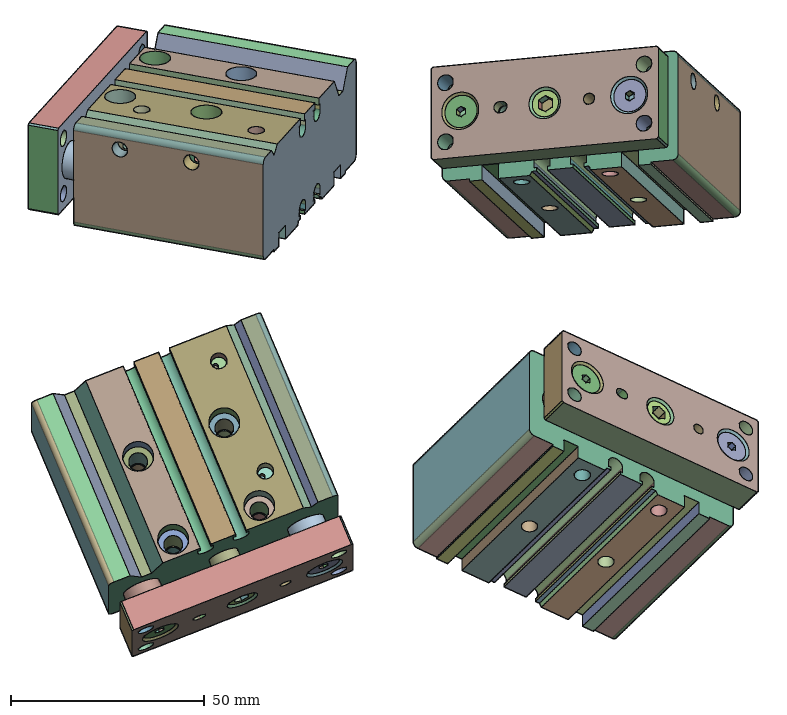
import cadquery as cq
import math

TOTAL_LENGTH = 66.0
PLATE_THICKNESS = 8.25
ROD_EXPOSED = 4.9
BODY_FRONT = PLATE_THICKNESS + ROD_EXPOSED
BODY_LENGTH = TOTAL_LENGTH - BODY_FRONT

BODY_WIDTH = 64.0
BODY_HEIGHT = 30.0
HALF_WIDTH = BODY_WIDTH / 2
TOP = BODY_HEIGHT / 2
BOTTOM = -TOP
CORNER_RADIUS = 1.5
FOOT_STEP = 0.6
FOOT_EDGE = 24.6

DOVETAIL_CENTER = 21.45
DOVETAIL_TOP_WIDTH = 9.1
DOVETAIL_FLOOR_WIDTH = 2.8
DOVETAIL_DEPTH = 5.55

VEE_INNER = -22.3
VEE_BOTTOM = -24.55
VEE_OUTER = -26.4
VEE_DEPTH = 2.1

SENSOR_SLOT_OFFSET = 4.95
SENSOR_NECK_WIDTH = 3.0
SENSOR_HEAD_WIDTH = 4.35
SENSOR_LIP = 2.05
SENSOR_HEAD_STRAIGHT = 1.6

RELIEF_WIDTH = 15.3
RELIEF_DEPTH = 1.05
RELIEF_FLARE = 0.6

MOUNT_SLOT_OFFSET = 18.95
MOUNT_SLOT_WIDTH = 4.5
MOUNT_SLOT_DEPTH = 3.95

MOUNT_FIRST_X = 18.0
MOUNT_PITCH_X = 24.0
MOUNT_PITCH_Y = 24.0
MOUNT_BORE = 4.2
MOUNT_CLEARANCE = 4.8
MOUNT_COUNTERBORE = 8.0
COUNTERBORE_DEPTH = 5.0
CLEARANCE_LENGTH = TOP

PORT_DIAMETER = 4.2
PORT_DEPTH = 3.95
BLEED_DIAMETER = 1.5
BLEED_DEPTH = 2.0
BLEED_OFFSET = 0.9
PORT_FRONT_X = 26.0
TOP_PORT_REAR_X = 57.95
SIDE_PORT_REAR_X = 45.95
TOP_PORT_Y = -16.95
SIDE_PORT_Z = 10.4

PLATE_WIDTH = 61.65
PLATE_HEIGHT = 25.0
PLATE_CHAMFER = 0.45
PLATE_HOLE = 4.2
PLATE_HOLE_PITCH_Y = 53.85
PLATE_HOLE_PITCH_Z = 16.0
DOWEL_DIAMETER = 3.0
DOWEL_OFFSET = 12.0
DOWEL_SLOT_LENGTH = 3.5
DOWEL_SLOT_DEPTH = 3.95

GUIDE_OFFSET = 22.9
GUIDE_DIAMETER = 10.0
PISTON_ROD_DIAMETER = 8.0
GUIDE_RECESS = (10.0, 8.7)
PISTON_RECESS = (8.5, 7.1)
RECESS_DEPTH = 0.6
GUIDE_HEX = 2.4
PISTON_HEX = 3.75
HEX_DEPTH = 3.0


def cylinder_x(diameter, x, y, z, length):
    """Cylinder along +X starting at (x, y, z)."""
    return cq.Workplane("YZ", origin=(x, y, z)).circle(diameter / 2).extrude(length)


def cylinder_down(diameter, x, y, z, depth):
    """Cylinder running down from (x, y, z)."""
    return cq.Workplane("XY", origin=(x, y, z)).circle(diameter / 2).extrude(-depth)


def cylinder_inward(diameter, x, y, z, depth):
    """Cylinder along +Y starting at (x, y, z)."""
    return cq.Workplane("XZ", origin=(x, y, z)).circle(diameter / 2).extrude(-depth)


def body_prism(section):
    """Extrude a closed YZ section over the length of the body."""
    return section.extrude(BODY_LENGTH)


def section_plane():
    return cq.Workplane("YZ", origin=(BODY_FRONT, 0, 0))


def body_blank():
    """Rounded block with a slightly lower foot along the middle of its underside."""
    side_bottom = BOTTOM + FOOT_STEP
    block = (
        section_plane()
        .center(0, (TOP + side_bottom) / 2)
        .rect(BODY_WIDTH, TOP - side_bottom)
        .extrude(BODY_LENGTH)
        .edges("|X")
        .fillet(CORNER_RADIUS)
    )
    foot = body_prism(section_plane().center(0, BOTTOM / 2).rect(2 * FOOT_EDGE, TOP))
    return block.union(foot)


def dovetail_groove():
    top_half = DOVETAIL_TOP_WIDTH / 2
    floor_half = DOVETAIL_FLOOR_WIDTH / 2
    floor = TOP - DOVETAIL_DEPTH
    return body_prism(
        section_plane()
        .moveTo(DOVETAIL_CENTER - top_half, TOP)
        .lineTo(DOVETAIL_CENTER - floor_half, floor)
        .lineTo(DOVETAIL_CENTER + floor_half, floor)
        .lineTo(DOVETAIL_CENTER + top_half, TOP)
        .close()
    )


def vee_groove():
    return body_prism(
        section_plane()
        .moveTo(VEE_INNER, TOP)
        .lineTo(VEE_BOTTOM, TOP - VEE_DEPTH)
        .lineTo(VEE_OUTER, TOP)
        .close()
    )


def sensor_slot(y, side):
    """Necked slot with a round floor; side is +1 in the top face and -1 in the bottom face."""
    neck = SENSOR_NECK_WIDTH / 2
    head = SENSOR_HEAD_WIDTH / 2
    mouth = side * TOP
    lip = side * (TOP - SENSOR_LIP)
    spring = lip - side * SENSOR_HEAD_STRAIGHT
    return body_prism(
        section_plane()
        .moveTo(y - neck, mouth)
        .lineTo(y - neck, lip)
        .lineTo(y - head, lip)
        .lineTo(y - head, spring)
        .threePointArc((y, spring - side * head), (y + head, spring))
        .lineTo(y + head, lip)
        .lineTo(y + neck, lip)
        .lineTo(y + neck, mouth)
        .close()
    )


def bottom_relief():
    roof_half = RELIEF_WIDTH / 2
    mouth_half = roof_half + RELIEF_FLARE
    roof = BOTTOM + RELIEF_DEPTH
    return body_prism(
        section_plane()
        .moveTo(-mouth_half, BOTTOM)
        .lineTo(-roof_half, roof)
        .lineTo(roof_half, roof)
        .lineTo(mouth_half, BOTTOM)
        .close()
    )


def mount_slot(y):
    center_z = BOTTOM + MOUNT_SLOT_DEPTH / 2
    return body_prism(section_plane().center(y, center_z).rect(MOUNT_SLOT_WIDTH, MOUNT_SLOT_DEPTH))


def mount_hole(x, y):
    """Counterbore, clearance length and smaller through bore, cut from the top."""
    counterbore = cylinder_down(MOUNT_COUNTERBORE, x, y, TOP, COUNTERBORE_DEPTH)
    clearance = cylinder_down(MOUNT_CLEARANCE, x, y, TOP, CLEARANCE_LENGTH)
    bore = cylinder_down(MOUNT_BORE, x, y, TOP, BODY_HEIGHT)
    return counterbore.union(clearance).union(bore)


def top_port(x):
    port = cylinder_down(PORT_DIAMETER, x, TOP_PORT_Y, TOP, PORT_DEPTH)
    bleed = cylinder_down(BLEED_DIAMETER, x, TOP_PORT_Y + BLEED_OFFSET, TOP, PORT_DEPTH + BLEED_DEPTH)
    return port.union(bleed)


def side_port(x):
    port = cylinder_inward(PORT_DIAMETER, x, -HALF_WIDTH, SIDE_PORT_Z, PORT_DEPTH)
    bleed_z = SIDE_PORT_Z - BLEED_OFFSET
    bleed = cylinder_inward(BLEED_DIAMETER, x, -HALF_WIDTH, bleed_z, PORT_DEPTH + BLEED_DEPTH)
    return port.union(bleed)


def make_body():
    body = body_blank().cut(dovetail_groove()).cut(vee_groove()).cut(bottom_relief())
    for side in (1, -1):
        body = body.cut(mount_slot(side * MOUNT_SLOT_OFFSET))
        for face in (1, -1):
            body = body.cut(sensor_slot(side * SENSOR_SLOT_OFFSET, face))
    for x in (MOUNT_FIRST_X, MOUNT_FIRST_X + MOUNT_PITCH_X):
        for y in (-MOUNT_PITCH_Y / 2, MOUNT_PITCH_Y / 2):
            body = body.cut(mount_hole(x, y))
    for x in (PORT_FRONT_X, TOP_PORT_REAR_X):
        body = body.cut(top_port(x))
    for x in (PORT_FRONT_X, SIDE_PORT_REAR_X):
        body = body.cut(side_port(x))
    return body


def rod_end(y, recess, hex_flats):
    """Tapered recess with a hexagon socket in its floor, cut into the plate face."""
    mouth, floor = recess
    taper = (
        cq.Workplane("YZ", origin=(0, y, 0))
        .circle(mouth / 2)
        .workplane(offset=RECESS_DEPTH)
        .circle(floor / 2)
        .loft()
    )
    corners = hex_flats / math.cos(math.pi / 6)
    socket = (
        cq.Workplane("YZ", origin=(0, y, 0))
        .transformed(rotate=(0, 0, 90))
        .polygon(6, corners)
        .extrude(RECESS_DEPTH + HEX_DEPTH)
    )
    return taper.union(socket)


def make_plate_with_rods():
    """Tool plate carrying the piston rod and the two guide rods, which end at the body face."""
    plate = (
        cq.Workplane("YZ")
        .rect(PLATE_WIDTH, PLATE_HEIGHT)
        .extrude(PLATE_THICKNESS)
        .edges("|X")
        .chamfer(PLATE_CHAMFER)
    )
    plate = plate.cut(
        cq.Workplane("YZ")
        .rect(PLATE_HOLE_PITCH_Y, PLATE_HOLE_PITCH_Z, forConstruction=True)
        .vertices()
        .circle(PLATE_HOLE / 2)
        .extrude(PLATE_THICKNESS)
    )
    for y in (-DOWEL_OFFSET, DOWEL_OFFSET):
        plate = plate.cut(cylinder_x(DOWEL_DIAMETER, 0, y, 0, PLATE_THICKNESS))
    dowel_slot = (
        cq.Workplane("YZ", origin=(0, DOWEL_OFFSET, 0))
        .slot2D(DOWEL_SLOT_LENGTH, DOWEL_DIAMETER)
        .extrude(DOWEL_SLOT_DEPTH)
    )
    plate = plate.cut(dowel_slot)
    plate = plate.union(cylinder_x(PISTON_ROD_DIAMETER, PLATE_THICKNESS, 0, 0, ROD_EXPOSED))
    plate = plate.cut(rod_end(0, PISTON_RECESS, PISTON_HEX))
    for y in (-GUIDE_OFFSET, GUIDE_OFFSET):
        plate = plate.union(cylinder_x(GUIDE_DIAMETER, PLATE_THICKNESS, y, 0, ROD_EXPOSED))
        plate = plate.cut(rod_end(y, GUIDE_RECESS, GUIDE_HEX))
    return plate


body = make_body()
plate_with_rods = make_plate_with_rods()
result = cq.Compound.makeCompound([body.val(), plate_with_rods.val()])